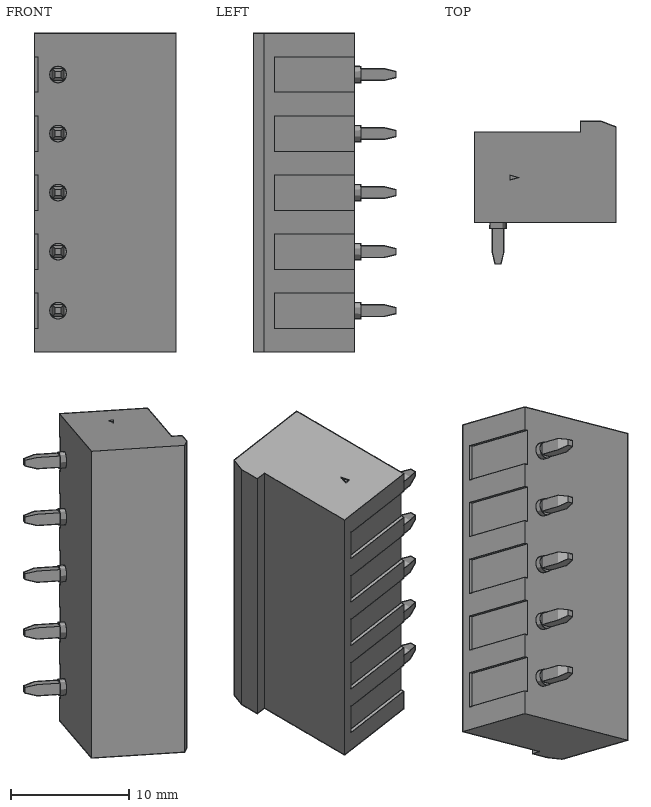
import cadquery as cq

length = 27.0
width = 12.0
overall_depth = 12.1
step_height = 0.92
step_start = 8.96
slope_start = 10.72
slope_drop = 0.49

pin_count = 5
pitch = 5.0
pin_x = 2.0
collar_diameter = 1.4
collar_height = 0.5
pin_side = 1.0
pin_straight = 2.0
taper_length = 1.0
tip_side = 0.5

recess_height = 3.0
recess_depth = 0.3
recess_length = 6.8

mark_x = 3.0
mark_length = 0.75
mark_width = 0.4
mark_rise = 3.8
mark_depth = 0.1

pin_length = collar_height + pin_straight + taper_length
back_y = overall_depth - pin_length
step_y = back_y - step_height
pin_heights = [length / 2 + (i - (pin_count - 1) / 2) * pitch for i in range(pin_count)]


def make_housing():
    outline = [
        (0, 0),
        (width, 0),
        (width, back_y - slope_drop),
        (slope_start, back_y),
        (step_start, back_y),
        (step_start, step_y),
        (0, step_y),
    ]
    return cq.Workplane("XY").polyline(outline).close().extrude(length)


def make_recess(z):
    return cq.Workplane("XY").box(
        recess_depth, recess_length, recess_height, centered=(False, False, True)
    ).translate((0, 0, z))


def make_mark():
    return (
        cq.Workplane("XY", origin=(mark_x, mark_rise, length))
        .polyline([(0, -mark_width / 2), (mark_length, 0), (0, mark_width / 2)])
        .close()
        .extrude(-mark_depth)
    )


def make_pin(z):
    collar = cq.Workplane("XZ", origin=(pin_x, 0, z)).circle(collar_diameter / 2).extrude(collar_height)
    shaft = collar.faces("<Y").workplane().rect(pin_side, pin_side).extrude(pin_straight)
    return (
        shaft.faces("<Y")
        .workplane()
        .rect(pin_side, pin_side)
        .workplane(offset=taper_length)
        .rect(tip_side, tip_side)
        .loft(combine=True)
    )


result = make_housing().cut(make_mark())
for pin_z in pin_heights:
    result = result.cut(make_recess(pin_z)).union(make_pin(pin_z))